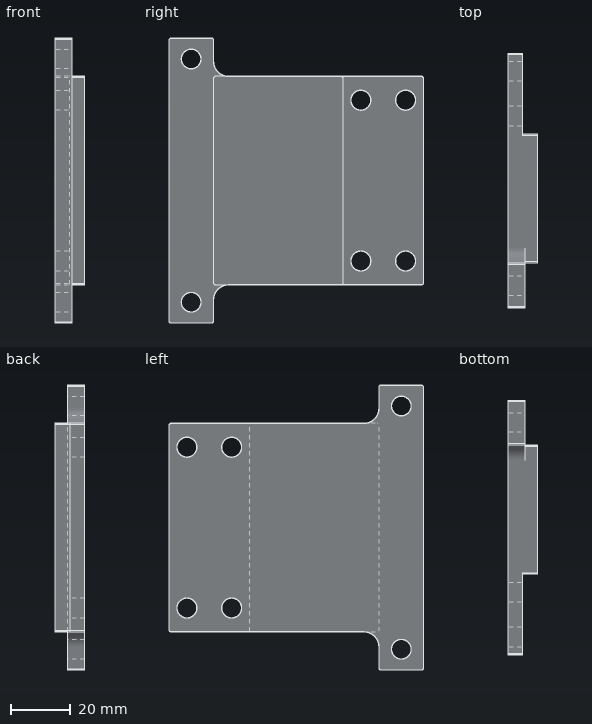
import cadquery as cq

length = 85.4
height = 95.6
body_height = 70.0
block_thickness = 10.0
foot_thickness = 5.8
tail_thickness = 5.0

foot_length = 15.0
block_end = 58.3

inner_fillet = 5.0
corner_chamfer = 0.5

foot_hole_diameter = 6.5
foot_hole_y = 7.5
foot_hole_spacing = 81.5
tail_hole_diameter = 6.6
tail_hole_end_offset = 6.0
tail_hole_pitch = 15.0
tail_hole_spacing = 53.9


def slab(y_start, y_end, slab_height, thickness):
    """Rectangular slab with its flat back on X = 0, centred on Z = 0."""
    return cq.Workplane("XY").box(
        thickness, y_end - y_start, slab_height, centered=(False, False, True)
    ).translate((0, y_start, 0))


def hole_pair(y, spacing, diameter):
    """Two through holes along X, placed symmetrically about Z = 0."""
    return (
        cq.Workplane("YZ")
        .pushPoints([(y, -spacing / 2), (y, spacing / 2)])
        .circle(diameter / 2)
        .extrude(block_thickness)
    )


def inner_corner(side):
    """Concave fillet between a foot lug and the body; side is +1 (top) or -1."""
    edge_z = side * body_height / 2
    root_z = edge_z - side * corner_chamfer
    return (
        cq.Workplane("YZ")
        .moveTo(foot_length, root_z)
        .lineTo(foot_length, edge_z + side * inner_fillet)
        .radiusArc((foot_length + inner_fillet, edge_z), side * -inner_fillet)
        .lineTo(foot_length + inner_fillet, root_z)
        .close()
        .extrude(foot_thickness)
    )


foot = slab(0, foot_length, height, foot_thickness).edges("|X").chamfer(corner_chamfer)
block = slab(foot_length, block_end, body_height, block_thickness)
block = block.edges("|X").chamfer(corner_chamfer)
tail = slab(foot_length, length, body_height, tail_thickness)
tail = tail.edges("|X and >Y").chamfer(corner_chamfer)

result = foot.union(block).union(tail)
for side in (1, -1):
    result = result.union(inner_corner(side))

result = result.cut(hole_pair(foot_hole_y, foot_hole_spacing, foot_hole_diameter))
outer_hole_y = length - tail_hole_end_offset
for hole_y in (outer_hole_y, outer_hole_y - tail_hole_pitch):
    result = result.cut(hole_pair(hole_y, tail_hole_spacing, tail_hole_diameter))